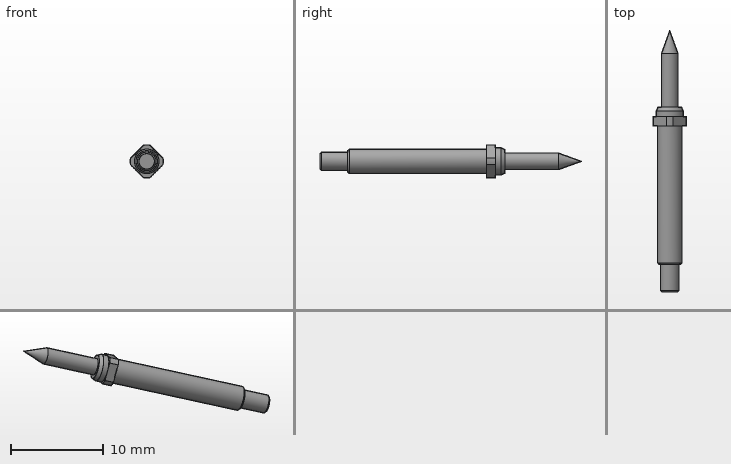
import cadquery as cq

total_length = 28.3
tip_length = 2.5
plunger_diameter = 1.8
collar_start = 8.3
collar_diameter = 2.97
collar_chamfer_length = 0.42
collar_chamfer_depth = 0.2
flange_start = 9.3
flange_thickness = 1.0
flange_corner_diameter = 3.6
flange_across_flats = 3.0
barrel_diameter = 2.65
barrel_chamfer = 0.17
tail_length = 3.0
tail_diameter = 2.0
tail_chamfer = 0.17

plunger_radius = plunger_diameter / 2
collar_radius = collar_diameter / 2
barrel_radius = barrel_diameter / 2
tail_radius = tail_diameter / 2

tip_y = total_length / 2
tail_end_y = -total_length / 2
collar_y = tip_y - collar_start
flange_front_y = tip_y - flange_start
barrel_end_y = tail_end_y + tail_length


def turned_body():
    """Tip, plunger, collar, barrel and tail as one revolved profile."""
    profile = [
        (0, tip_y),
        (plunger_radius, tip_y - tip_length),
        (plunger_radius, collar_y),
        (collar_radius - collar_chamfer_depth, collar_y),
        (collar_radius, collar_y - collar_chamfer_length),
        (collar_radius, flange_front_y),
        (barrel_radius, flange_front_y),
        (barrel_radius, barrel_end_y + barrel_chamfer),
        (barrel_radius - barrel_chamfer, barrel_end_y),
        (tail_radius, barrel_end_y),
        (tail_radius, tail_end_y + tail_chamfer),
        (tail_radius - tail_chamfer, tail_end_y),
        (0, tail_end_y),
    ]
    return cq.Workplane("XY").polyline(profile).close().revolve(360, (0, 0), (0, 1))


def flange():
    """Disc cut by four flats at 45 degrees, leaving round corners on X and Z."""
    front_face = cq.Workplane("XZ", origin=(0, flange_front_y, 0))
    disc = front_face.circle(flange_corner_diameter / 2).extrude(flange_thickness)
    square = (
        front_face.transformed(rotate=(0, 0, 45))
        .rect(flange_across_flats, flange_across_flats)
        .extrude(flange_thickness)
    )
    return disc.intersect(square)


result = turned_body().union(flange())